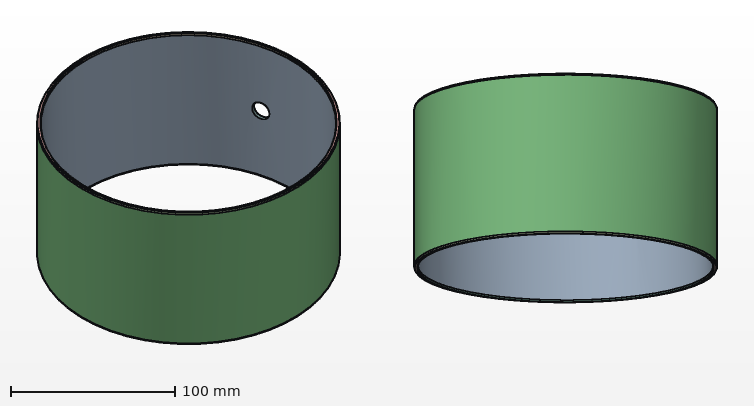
import cadquery as cq

outer_diameter = 185.0
height = 100.0
wall = 2.5

chamfer_width = 0.5
chamfer_height = 1.1

hole_diameter = 12.0
hole_height = height / 2

outer_radius = outer_diameter / 2
inner_radius = outer_radius - wall


def make_ring():
    """Thin tube standing on Z = 0, revolved from a wall section with four steep chamfers."""
    section = (
        cq.Workplane("XZ")
        .moveTo(inner_radius + chamfer_width, 0)
        .lineTo(outer_radius - chamfer_width, 0)
        .lineTo(outer_radius, chamfer_height)
        .lineTo(outer_radius, height - chamfer_height)
        .lineTo(outer_radius - chamfer_width, height)
        .lineTo(inner_radius + chamfer_width, height)
        .lineTo(inner_radius, height - chamfer_height)
        .lineTo(inner_radius, chamfer_height)
        .close()
    )
    return section.revolve(360, (0, 0, 0), (0, 1, 0))


def make_hole_cutter():
    """Radial cylinder running from the ring axis out through the +Y wall."""
    return (
        cq.Workplane("XZ")
        .center(0, hole_height)
        .circle(hole_diameter / 2)
        .extrude(-outer_diameter)
    )


result = make_ring().cut(make_hole_cutter())